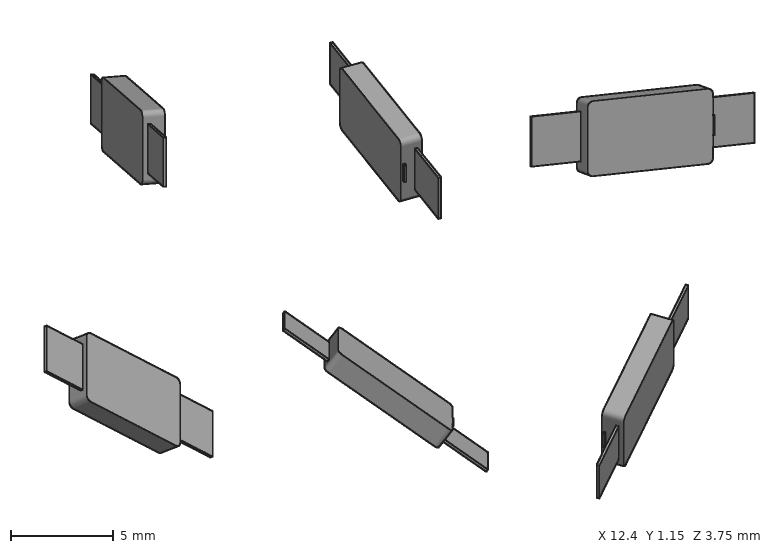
import cadquery as cq

overall_length = 12.35

housing_length = 6.95
housing_thickness = 1.15
housing_width = 3.75
corner_radius = 0.3

tab_projection = 0.15
tab_thickness = 0.11
tab_width = 1.0
tab_center_y = 0.41

terminal_length = (overall_length - housing_length) / 2
terminal_thickness = 0.15
terminal_width = 2.5
terminal_center_y = -0.25


def make_housing():
    """Block with rounded corners and a thin tab on its -X end."""
    block = cq.Workplane("XY").box(housing_length, housing_thickness, housing_width)
    block = block.edges("|Y").fillet(corner_radius)
    tab_center_x = -(housing_length + tab_projection) / 2
    tab = (
        cq.Workplane("XY")
        .box(tab_projection, tab_thickness, tab_width)
        .translate((tab_center_x, tab_center_y, 0))
    )
    return block.union(tab)


def make_terminal(side):
    """Flat strip outside the housing end on the given side (-1 or +1 along X)."""
    center_x = side * (housing_length + terminal_length) / 2
    return (
        cq.Workplane("XY")
        .box(terminal_length, terminal_thickness, terminal_width)
        .translate((center_x, terminal_center_y, 0))
    )


housing = make_housing()
terminals = [make_terminal(side) for side in (-1, 1)]

result = cq.Compound.makeCompound([housing.val(), *[terminal.val() for terminal in terminals]])